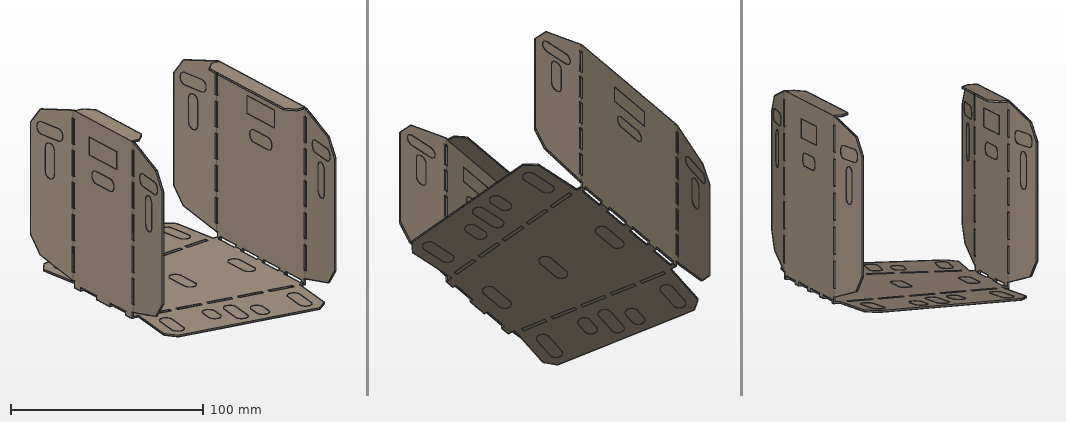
import cadquery as cq
import math

thickness = 1.0
knockout_rise = 0.15
channel_width = 101.22
height = 99.51

bend_angle = 7.5
bend_half_mid = 33.625
edge_inset = 1.0
flange_inset = 1.4
flap_overlap = 1.0

flap_reach = 33.0
flap_z_mid = 51.5
wall_flap_root = 47.85
wall_flap_shoulder = 40.9
wall_flap_tip = 31.6
wall_flap_shoulder_reach = 25.6
floor_flap_half = 47.1
floor_flap_corner = 5.6

flange_depth = 10.0
flange_corner = 5.0

perforation_count = 5
perforation_pitch = 18.0
perforation_length = 14.2
perforation_width = 2.0
perforation_depth = 4 * thickness

joint_slot_length = 14.2
joint_slot_size = 2.0
back_slot_inner = 9.6
back_slot_outer = 29.8
front_slot_inner = 13.2
back_joint_slots = (-back_slot_outer, -back_slot_inner, back_slot_inner, back_slot_outer)
front_joint_slots = (-front_slot_inner, front_slot_inner)

slot_length = 20.0
slot_width = 7.0
short_slot_length = 13.5
flap_slot_reach = 18.0
floor_slot_pitch = 37.5
short_slot_along = 12.5
short_slot_shift = 3.2
flap_cross_slot_z = 82.2
flap_upright_slot_z = 65.6
wall_slot_z = 68.5
label_z = 84.2
label_width = 25.0
label_height = 10.0

bend_rad = math.radians(bend_angle)
bend_sin = math.sin(bend_rad)
bend_cos = math.cos(bend_rad)
half_width = channel_width / 2
front_hinge_y = thickness - half_width
perforation_places = [
    (i - (perforation_count - 1) / 2) * perforation_pitch for i in range(perforation_count)
]
across = 90


def bend_half(y):
    """Distance of the floor bend line from the centre plane at a given Y."""
    return bend_half_mid + y * math.tan(bend_rad)


back_half = bend_half(half_width)
front_half = bend_half(front_hinge_y)

floor_plane = cq.Plane((0, 0, 0), (0, 1, 0), (0, 0, -1))
floor_flap_plane = cq.Plane((bend_half_mid, 0, 0), (bend_sin, bend_cos, 0), (0, 0, -1))
back_plane = cq.Plane((0, half_width, 0), (0, 0, 1), (0, 1, 0))
front_plane = cq.Plane((0, -half_width, 0), (0, 0, 1), (0, -1, 0))
back_flap_plane = cq.Plane((back_half, half_width, 0), (0, 0, 1), (bend_sin, bend_cos, 0))
front_flap_plane = cq.Plane(
    (-front_half + thickness * bend_sin, front_hinge_y - thickness * bend_cos, 0),
    (0, 0, 1),
    (bend_sin, -bend_cos, 0),
)


def sheet(plane, points):
    return cq.Workplane(plane).polyline(points).close().extrude(-thickness)


def slot(plane, along, outward, length, angle):
    return cq.Workplane(plane).center(along, outward).slot2D(length, slot_width, angle)


def rectangle(plane, along, outward, length, width):
    return cq.Workplane(plane).center(along, outward).rect(length, width)


def with_knockouts(panel, plane, make_profile, places):
    """Push each profile outward: a shallow recess inside and an equal rise outside."""
    inner_plane = cq.Plane(plane.origin - plane.zDir * thickness, plane.xDir, plane.zDir)
    for place in places:
        panel = panel.cut(make_profile(inner_plane, *place).extrude(knockout_rise))
        panel = panel.union(make_profile(plane, *place).extrude(knockout_rise))
    return panel


def mirrored_pair(panel):
    return panel.union(panel.mirror("YZ"))


def make_floor():
    back_foot = back_half - edge_inset
    front_foot = front_half - edge_inset
    flap_end = floor_flap_half * bend_cos
    flap_shift = floor_flap_half * bend_sin
    side = [
        (-half_width, front_foot),
        (-flap_end, front_foot),
        (-flap_end, bend_half_mid - flap_shift),
        (flap_end, bend_half_mid + flap_shift),
        (flap_end, back_foot),
        (half_width, back_foot),
    ]
    opposite = [(y, -x) for y, x in reversed(side)]
    centre = sheet(floor_plane, side + opposite)

    flap = sheet(floor_flap_plane, [
        (-floor_flap_half, -flap_overlap),
        (-floor_flap_half, flap_reach - floor_flap_corner),
        (-floor_flap_half + floor_flap_corner, flap_reach),
        (floor_flap_half - floor_flap_corner, flap_reach),
        (floor_flap_half, flap_reach - floor_flap_corner),
        (floor_flap_half, -flap_overlap),
    ])
    floor = centre.union(mirrored_pair(flap)).clean()

    rows = (-floor_slot_pitch, 0, floor_slot_pitch)
    floor = with_knockouts(floor, floor_plane, slot, [(y, 0, slot_length, across) for y in rows])

    flap_slots = [(along, flap_slot_reach, slot_length, across) for along in rows]
    for direction in (-1, 1):
        reach = flap_slot_reach + direction * short_slot_shift
        flap_slots.append((direction * short_slot_along, reach, short_slot_length, across))
    bend_marks = [(along, 0, perforation_length, perforation_width) for along in perforation_places]

    for _ in range(2):
        floor = with_knockouts(floor, floor_flap_plane, slot, flap_slots)
        floor = with_knockouts(floor, floor_flap_plane, rectangle, bend_marks)
        floor = floor.mirror("YZ")
    return floor


def make_wall_centre(plane, half):
    foot_half = half - edge_inset
    top_half = half - flange_inset
    flap_bottom = flap_z_mid - wall_flap_root
    flap_top = flap_z_mid + wall_flap_root
    side = [
        (0, foot_half),
        (flap_bottom, foot_half),
        (flap_bottom, half),
        (flap_top, half),
        (flap_top, top_half),
        (height, top_half),
    ]
    opposite = [(z, -x) for z, x in reversed(side)]
    wall = sheet(plane, side + opposite)
    wall = with_knockouts(wall, plane, slot, [(wall_slot_z, 0, slot_length, across)])
    return with_knockouts(wall, plane, rectangle, [(label_z, 0, label_height, label_width)])


def make_wall_flap(plane):
    profile = [
        (wall_flap_root, 0),
        (wall_flap_shoulder, wall_flap_shoulder_reach),
        (wall_flap_tip, flap_reach),
    ]
    upper = [(flap_z_mid + z, reach) for z, reach in profile]
    lower = [(flap_z_mid - z, reach) for z, reach in reversed(profile)]
    flap = sheet(plane, upper + lower)
    flap = with_knockouts(flap, plane, slot, [
        (flap_cross_slot_z, flap_slot_reach, slot_length, across),
        (flap_upright_slot_z, flap_slot_reach, slot_length, 0),
    ])
    return mirrored_pair(flap)


def make_flange(half, outward):
    """Top flange that starts at a wall's outer face; outward is the sign of its Y side."""
    end_half = half - flange_inset
    outer_y = outward * half_width
    corner_y = outward * (half_width - flange_depth + flange_corner)
    inner_y = outward * (half_width - flange_depth)
    outline = [
        (-end_half, outer_y),
        (-end_half, corner_y),
        (-end_half + flange_corner, inner_y),
        (end_half - flange_corner, inner_y),
        (end_half, corner_y),
        (end_half, outer_y),
    ]
    top_plane = cq.Workplane("XY").workplane(offset=height)
    return top_plane.polyline(outline).close().extrude(-thickness)


def make_wall(plane, flap_plane, half, hinge_y, outward):
    wall = make_wall_centre(plane, half)
    wall = wall.union(make_wall_flap(flap_plane))
    wall = wall.union(make_flange(half, outward))

    perforation = cq.Workplane("XY").box(perforation_width, perforation_depth, perforation_length)
    for side in (-1, 1):
        for along in perforation_places:
            wall = wall.cut(perforation.translate((side * half, hinge_y, flap_z_mid + along)))
    return wall


def with_joint_openings(body, slot_places, outward):
    """Open the outer bottom edge between the floor and one side wall."""
    opening = cq.Workplane("XY").box(joint_slot_length, 2 * joint_slot_size, 2 * joint_slot_size)
    for x in slot_places:
        body = body.cut(opening.translate((x, outward * half_width, 0)))
    return body


floor = make_floor()
back_wall = make_wall(back_plane, back_flap_plane, back_half, half_width, 1)
front_wall = make_wall(front_plane, front_flap_plane, front_half, front_hinge_y, -1)

result = floor.union(back_wall).union(front_wall)
result = with_joint_openings(result, back_joint_slots, 1)
result = with_joint_openings(result, front_joint_slots, -1)